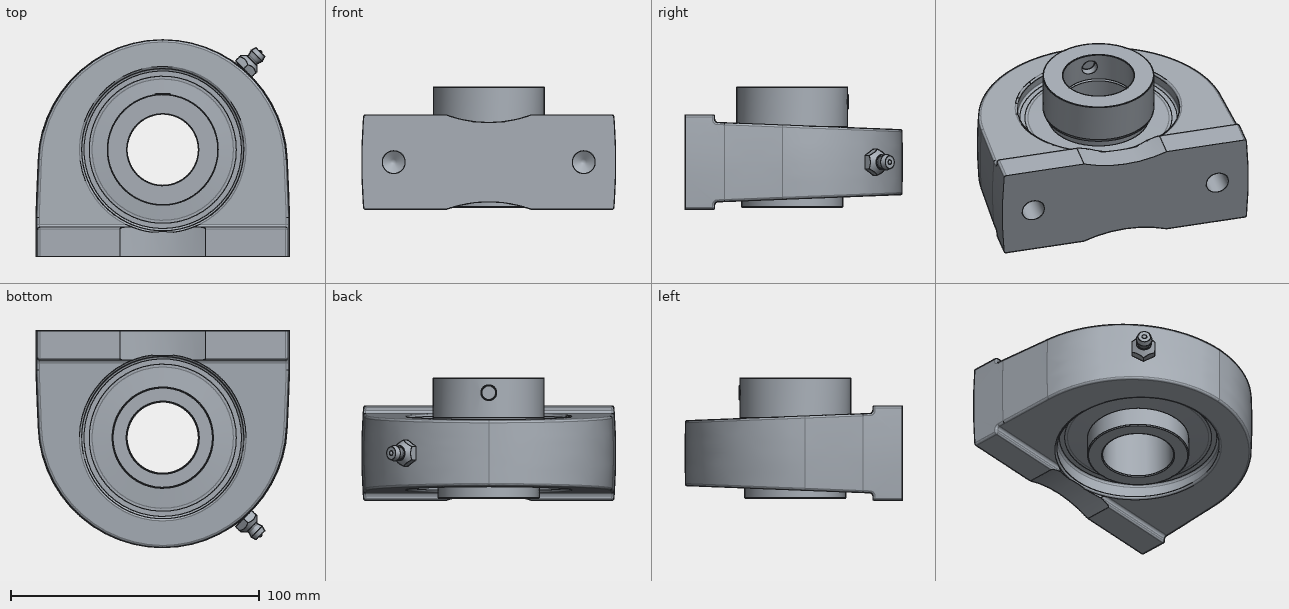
import cadquery as cq
import math


SIN_45 = math.sqrt(0.5)

HALF_LENGTH = 51.0
FOOT_HALF_HEIGHT = 19.0
BASE_Y = -42.9
TOP_Y = 44.1
FOOT_DEPTH = 11.8
STEP_Y = BASE_Y + FOOT_DEPTH
PLATE_HALF_AT_STEP = 16.0
PLATE_HALF_AT_TOP = 13.0
STEP_FILLET = 1.2
FOOT_EDGE_FILLET = 0.7
RIM_FILLET = 0.9
CROWN_ARC_RADIUS = 50.0
CROWN_ARC_Y = TOP_Y - CROWN_ARC_RADIUS
SIDE_TILT = 2.35
SIDE_BULGE = 0.8
BULGE_ANGLE = 8.0
HALF_OVERLAP = 10.2
WAIST_DEPTH = 3.1
WAIST_HALF_WIDTH = 17.1
BOLT_DIAMETER = 9.2
BOLT_X = 38.1
BOLT_DEPTH = 14.3
DRILL_POINT_ANGLE = 118.0
MOUTH_DIAMETER = 65.0
MOUTH_FILLET = 0.9
SEAT_ROUND = 0.9

OUTER_DIAMETER = MOUTH_DIAMETER - 2 * SEAT_ROUND
OUTER_HALF_WIDTH = 9.3
SEAL_DIAMETER = 59.0
RACE_DIAMETER = 55.1
SEAL_FLAT_DIAMETER = 56.7
SEAL_THICKNESS = 1.5
SEAL_RISE = 0.5
INNER_DIAMETER = 40.7
INNER_BOTTOM_Z = -18.2
SHAFT_DIAMETER = 28.5
NOSE_DIAMETER = 35.7
NOSE_TOP_Z = 18.3
RING_CHAMFER = 0.4
NOSE_CHAMFER = 1.0

COLLAR_DIAMETER = 44.5
COLLAR_TOP_Z = 30.2
COLLAR_BOTTOM_Z = 13.1
COLLAR_LIP_INSET = 0.4
COLLAR_LIP_HEIGHT = 1.1
COLLAR_CHAMFER = 0.2
SCREW_DIAMETER = 6.3
SCREW_Z = 24.3
SCREW_INNER_Y = 17.1
SCREW_OUTER_Y = 22.5
SCREW_CHAMFER = 0.4

NIPPLE_ANGLE = 45.0
NIPPLE_SEAT = 45.9
SHANK_DIAMETER = 6.0
SHANK_LENGTH = 6.1
HEX_FLATS = 9.2
HEX_HEIGHT = 3.1
SHOULDER_HEIGHT = 4.7
NECK_DIAMETER = 5.0
NECK_HEIGHT = 5.4
HEAD_DIAMETER = 6.3
HEAD_HEIGHT = 7.4
TIP_DIAMETER = 5.1
TIP_HEIGHT = 9.5
BALL_DIAMETER = 2.0
BALL_HEIGHT = 9.1


def spin(profile):
    """Turn a closed XZ profile once around the Z axis."""
    return profile.revolve(360, (0, 0, 0), (0, 1, 0))


def turned(points):
    """Solid of revolution about Z from (radius, z) points."""
    return spin(cq.Workplane("XZ").polyline(points).close())


def outline_blank():
    """Plan shape with sides that bulge outwards half way up.

    Each half is its plan outline (crown arc, tilted side, straight foot end) turned through a small
    angle about a distant line parallel to Y.
    """
    tilt = math.radians(SIDE_TILT)
    tangent_x = CROWN_ARC_RADIUS * math.cos(tilt)
    tangent_y = CROWN_ARC_Y + CROWN_ARC_RADIUS * math.sin(tilt)
    corner_y = tangent_y - (HALF_LENGTH - tangent_x) / math.tan(tilt)
    overlap_y = CROWN_ARC_Y + math.sqrt(CROWN_ARC_RADIUS**2 - HALF_OVERLAP**2)
    plan = (
        cq.Workplane("XY")
        .moveTo(-HALF_OVERLAP, BASE_Y)
        .lineTo(HALF_LENGTH, BASE_Y)
        .lineTo(HALF_LENGTH, corner_y)
        .lineTo(tangent_x, tangent_y)
        .threePointArc((0, TOP_Y), (-HALF_OVERLAP, overlap_y))
        .close()
    )
    bulge_radius = (FOOT_HALF_HEIGHT**2 + SIDE_BULGE**2) / (2 * SIDE_BULGE)
    axis_x = HALF_LENGTH - bulge_radius
    axis = ((axis_x, 0, 0), (axis_x, 1, 0))
    right = plan.revolve(2 * BULGE_ANGLE, *axis).rotate(*axis, -BULGE_ANGLE)
    size = 4 * HALF_LENGTH
    positive_x = cq.Workplane("XY").box(size, size, size, centered=(False, True, True))
    right = right.intersect(positive_x)
    return right.union(right.mirror("YZ"))


def edges_along_x(body, y, z):
    """The edges that run along X at the given y and z, above and below the middle."""
    margin = 0.1

    def box_at(height):
        low = (-HALF_LENGTH, y - margin, height - margin)
        high = (HALF_LENGTH, y + margin, height + margin)
        return cq.selectors.BoxSelector(low, high)

    return body.edges(box_at(z) + box_at(-z))


def side_profile():
    """Foot and tapering plate, as an outline in YZ carried along X."""
    upper = [
        (BASE_Y, FOOT_HALF_HEIGHT),
        (STEP_Y, FOOT_HALF_HEIGHT),
        (STEP_Y, PLATE_HALF_AT_STEP),
        (TOP_Y, PLATE_HALF_AT_TOP),
    ]
    lower = [(y, -z) for y, z in reversed(upper)]
    profile = cq.Workplane("YZ").polyline(upper + lower).close().extrude(2 * HALF_LENGTH, both=True)
    profile = edges_along_x(profile, STEP_Y, FOOT_HALF_HEIGHT).fillet(FOOT_EDGE_FILLET)
    return edges_along_x(profile, STEP_Y, PLATE_HALF_AT_STEP).fillet(STEP_FILLET)


def waist_cutter():
    """Shallow round trough along Y through the top of the foot."""
    radius = (WAIST_HALF_WIDTH**2 + WAIST_DEPTH**2) / (2 * WAIST_DEPTH)
    centre_z = FOOT_HALF_HEIGHT - WAIST_DEPTH + radius
    trough = cq.Workplane("XZ", origin=(0, STEP_Y + STEP_FILLET, centre_z)).circle(radius)
    return trough.extrude(FOOT_DEPTH + STEP_FILLET)


def bolt_hole(x):
    """Blind drilled hole going in from the foot face."""
    radius = BOLT_DIAMETER / 2
    point = radius / math.tan(math.radians(DRILL_POINT_ANGLE / 2))
    hole = turned([(0, 0), (radius, 0), (radius, BOLT_DEPTH), (0, BOLT_DEPTH + point)])
    return hole.rotate((0, 0, 0), (1, 0, 0), -90).translate((x, BASE_Y, 0))


def bearing_seat():
    """Through bore that opens out through a hollow round on each side of the bearing."""
    seat = OUTER_DIAMETER / 2
    mouth = MOUTH_DIAMETER / 2
    arc_end_z = OUTER_HALF_WIDTH + SEAT_ROUND
    arc_mid = (seat + SEAT_ROUND * SIN_45, arc_end_z - SEAT_ROUND * SIN_45)
    profile = (
        cq.Workplane("XZ")
        .lineTo(seat, 0)
        .lineTo(seat, OUTER_HALF_WIDTH)
        .threePointArc(arc_mid, (mouth, arc_end_z))
        .lineTo(mouth, FOOT_HALF_HEIGHT)
        .lineTo(0, FOOT_HALF_HEIGHT)
        .close()
    )
    upper = spin(profile)
    return upper.union(upper.mirror("XY"))


def mouth_rounding():
    """Cutter that rounds the upper end of the bore, square to the sloping face of the plate."""
    bore = MOUTH_DIAMETER / 2
    rim = bore + MOUTH_FILLET
    arc_mid = (rim - MOUTH_FILLET * SIN_45, MOUTH_FILLET * (SIN_45 - 1))
    profile = (
        cq.Workplane("XZ")
        .moveTo(0, -MOUTH_FILLET)
        .lineTo(bore, -MOUTH_FILLET)
        .threePointArc(arc_mid, (rim, 0))
        .lineTo(rim, FOOT_HALF_HEIGHT)
        .lineTo(0, FOOT_HALF_HEIGHT)
        .close()
    )
    cutter = spin(profile)
    slope = (PLATE_HALF_AT_STEP - PLATE_HALF_AT_TOP) / (TOP_Y - STEP_Y)
    face_z = PLATE_HALF_AT_TOP + slope * TOP_Y
    tilt = math.degrees(math.atan(slope))
    return cutter.rotate((0, 0, 0), (1, 0, 0), -tilt).translate((0, 0, face_z))


def is_rim(edge):
    """True for an edge that stays above or below the middle, not one that crosses it."""
    box = edge.BoundingBox()
    return box.zmin > 0 or box.zmax < 0


def make_housing():
    """Rounded blank with bearing seat, foot waists, bolt holes and the nipple hole."""
    body = outline_blank().intersect(side_profile())
    body = body.edges("not |X").filter(is_rim).fillet(RIM_FILLET)
    body = body.cut(bearing_seat())
    for cutter in (waist_cutter(), mouth_rounding()):
        body = body.cut(cutter).cut(cutter.mirror("XY"))
    for x in (-BOLT_X, BOLT_X):
        body = body.cut(bolt_hole(x))
    return body.cut(nipple_shank())


def make_outer_ring():
    """Outer ring with a step on each side that holds a seal."""
    seat = OUTER_DIAMETER / 2
    groove = SEAL_DIAMETER / 2
    race = RACE_DIAMETER / 2
    inner_z = OUTER_HALF_WIDTH - SEAL_THICKNESS
    upper = [(race, inner_z), (groove, inner_z), (groove, OUTER_HALF_WIDTH), (seat, OUTER_HALF_WIDTH)]
    return turned(upper + [(r, -z) for r, z in reversed(upper)])


def make_seal():
    """Upper seal: a flat rim, then a cone rising towards the inner ring."""
    inner_z = OUTER_HALF_WIDTH - SEAL_THICKNESS
    return turned([
        (INNER_DIAMETER / 2, inner_z),
        (SEAL_DIAMETER / 2, inner_z),
        (SEAL_DIAMETER / 2, OUTER_HALF_WIDTH),
        (SEAL_FLAT_DIAMETER / 2, OUTER_HALF_WIDTH),
        (INNER_DIAMETER / 2, OUTER_HALF_WIDTH + SEAL_RISE),
    ])


def make_inner_ring():
    """Inner ring with a narrower nose that carries the locking collar."""
    bore = SHAFT_DIAMETER / 2
    outside = INNER_DIAMETER / 2
    nose = NOSE_DIAMETER / 2
    return turned([
        (bore, INNER_BOTTOM_Z + RING_CHAMFER),
        (bore + RING_CHAMFER, INNER_BOTTOM_Z),
        (outside - RING_CHAMFER, INNER_BOTTOM_Z),
        (outside, INNER_BOTTOM_Z + RING_CHAMFER),
        (outside, COLLAR_BOTTOM_Z),
        (nose, COLLAR_BOTTOM_Z),
        (nose, NOSE_TOP_Z),
        (bore + NOSE_CHAMFER, NOSE_TOP_Z),
        (bore, NOSE_TOP_Z - NOSE_CHAMFER),
    ])


def y_rod(start, end):
    """Rod of the screw diameter along Y at the screw height."""
    rod = cq.Workplane("XZ", origin=(0, start, SCREW_Z)).circle(SCREW_DIAMETER / 2)
    return rod.extrude(start - end)


def make_collar():
    """Locking collar that fits over the nose, with a radial hole for the set screw."""
    bore = SHAFT_DIAMETER / 2
    outside = COLLAR_DIAMETER / 2
    nose = NOSE_DIAMETER / 2
    collar = turned([
        (nose, COLLAR_BOTTOM_Z),
        (outside - COLLAR_LIP_INSET, COLLAR_BOTTOM_Z),
        (outside, COLLAR_BOTTOM_Z + COLLAR_LIP_HEIGHT),
        (outside, COLLAR_TOP_Z - COLLAR_CHAMFER),
        (outside - COLLAR_CHAMFER, COLLAR_TOP_Z),
        (bore + COLLAR_CHAMFER, COLLAR_TOP_Z),
        (bore, COLLAR_TOP_Z - COLLAR_CHAMFER),
        (bore, NOSE_TOP_Z),
        (nose, NOSE_TOP_Z),
    ])
    return collar.cut(y_rod(0, COLLAR_DIAMETER))


def make_set_screw():
    return y_rod(SCREW_INNER_Y, SCREW_OUTER_Y).faces("|Y").chamfer(SCREW_CHAMFER)


def along_nipple_axis(part):
    """Move a part built upwards from Z = 0 onto the nipple axis, starting at the nipple seat."""
    part = part.translate((0, 0, NIPPLE_SEAT)).rotate((0, 0, 0), (0, 1, 0), 90)
    return part.rotate((0, 0, 0), (0, 0, 1), NIPPLE_ANGLE)


def nipple_shank():
    shank = cq.Workplane("XY", origin=(0, 0, -SHANK_LENGTH)).circle(SHANK_DIAMETER / 2)
    return along_nipple_axis(shank.extrude(SHANK_LENGTH))


def nipple_ball():
    return along_nipple_axis(cq.Workplane("XY", origin=(0, 0, BALL_HEIGHT)).sphere(BALL_DIAMETER / 2))


def make_nipple():
    """Hexagon with a conical shoulder, a necked head and the shank that enters the housing."""
    corners = HEX_FLATS / math.cos(math.pi / 6)
    hexagon = cq.Workplane("XY").polygon(6, corners).extrude(SHOULDER_HEIGHT)
    shoulder = SHANK_DIAMETER / 2
    slope = (HEX_FLATS / 2 - shoulder) / (SHOULDER_HEIGHT - HEX_HEIGHT)
    hexagon = hexagon.intersect(turned([
        (0, 0),
        (shoulder + slope * SHOULDER_HEIGHT, 0),
        (shoulder, SHOULDER_HEIGHT),
        (0, SHOULDER_HEIGHT),
    ]))
    head = turned([
        (0, 0),
        (NECK_DIAMETER / 2, 0),
        (NECK_DIAMETER / 2, NECK_HEIGHT),
        (HEAD_DIAMETER / 2, HEAD_HEIGHT),
        (TIP_DIAMETER / 2, TIP_HEIGHT),
        (0, TIP_HEIGHT),
    ])
    return along_nipple_axis(hexagon.union(head)).union(nipple_shank()).cut(nipple_ball())


housing = make_housing()
outer_ring = make_outer_ring()
inner_ring = make_inner_ring()
upper_seal = make_seal()
lower_seal = upper_seal.mirror("XY")
collar = make_collar()
set_screw = make_set_screw()
nipple = make_nipple()
ball = nipple_ball()

bodies = [housing, outer_ring, inner_ring, upper_seal, lower_seal, collar, set_screw, nipple, ball]
result = cq.Compound.makeCompound([solid for body in bodies for solid in body.solids().vals()])